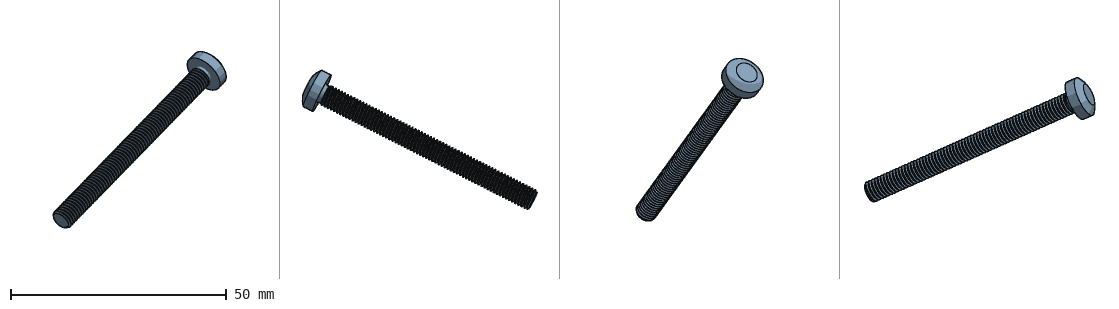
import cadquery as cq
import math

total_length = 58.7
head_height = 3.7
shank_length = total_length - head_height

head_radius = 4.75
rim_height = 2.45
head_top_radius = 2.65
crown_bulge = 0.1

thread_radius = 2.5
root_radius = 2.05
neck_radius = 2.25
neck_fillet = 0.25
neck_length = 0.8
neck_cone = thread_radius - neck_radius
tip_radius = 2.2
tip_chamfer = thread_radius - tip_radius

first_crest = 1.6
last_crest = 54.4
section_count = 6
turns_per_section = 11
thread_turns = section_count * turns_per_section
pitch = (last_crest - first_crest) / thread_turns
root_flat = pitch / 8
flank_angle = math.radians(30)
cutter_overlap = 0.05

section_length = turns_per_section * pitch
sections_bottom = -last_crest + pitch / 4
sections_top = sections_bottom + section_count * section_length


def revolve_about_axis(outline):
    """Turn a closed radius-height outline into a solid around the Y axis."""
    return outline.close().revolve(360, (0, 0), (0, 1)).val()


def make_head_blank():
    """Head with a flat-topped rounded crown, filleted neck and the short start of the unthreaded rod."""
    crown_width = head_radius - head_top_radius
    crown_height = head_height - rim_height
    slope_length = math.hypot(crown_width, crown_height)
    crown_middle = (
        (head_radius + head_top_radius) / 2 + crown_bulge * crown_height / slope_length,
        (head_height + rim_height) / 2 + crown_bulge * crown_width / slope_length,
    )
    fillet_inset = neck_fillet * (1 - math.sqrt(0.5))
    fillet_middle = (neck_radius + fillet_inset, -fillet_inset)
    return revolve_about_axis(
        cq.Workplane("XY")
        .moveTo(0, sections_top)
        .lineTo(thread_radius, sections_top)
        .lineTo(thread_radius, -neck_length - neck_cone)
        .lineTo(neck_radius, -neck_length)
        .lineTo(neck_radius, -neck_fillet)
        .threePointArc(fillet_middle, (neck_radius + neck_fillet, 0))
        .lineTo(head_radius, 0)
        .lineTo(head_radius, rim_height)
        .threePointArc(crown_middle, (head_top_radius, head_height))
        .lineTo(0, head_height)
    )


def make_section_blank():
    """Plain rod for one stacked section, the one next to the tip."""
    return revolve_about_axis(
        cq.Workplane("XY")
        .moveTo(0, sections_bottom)
        .lineTo(thread_radius, sections_bottom)
        .lineTo(thread_radius, sections_bottom + section_length)
        .lineTo(0, sections_bottom + section_length)
    )


def make_tip_blank():
    """Short plain rod with the chamfered end."""
    return revolve_about_axis(
        cq.Workplane("XY")
        .moveTo(0, -shank_length)
        .lineTo(tip_radius, -shank_length)
        .lineTo(thread_radius, -shank_length + tip_chamfer)
        .lineTo(thread_radius, sections_bottom)
        .lineTo(0, sections_bottom)
    )


def make_groove_turn():
    """One right-hand turn of the V groove, starting at the +X side half a pitch past the last crest."""
    outer_radius = thread_radius + cutter_overlap
    half_root = root_flat / 2
    half_mouth = half_root + (outer_radius - root_radius) * math.tan(flank_angle)
    profile = [
        (root_radius, -half_root),
        (outer_radius, -half_mouth),
        (outer_radius, half_mouth),
        (root_radius, half_root),
    ]
    helices = [
        cq.Wire.makeHelix(pitch, pitch, radius).translate(cq.Vector(0, 0, height))
        for radius, height in profile
    ]
    strips = [
        cq.Face.makeRuledSurface(helices[i - 1], helices[i])
        for i in range(len(helices))
    ]
    start_wire = cq.Workplane("XZ").polyline(profile).close().wires().val()
    start_cap = cq.Face.makeFromWires(start_wire)
    end_cap = start_cap.translate(cq.Vector(0, 0, pitch))
    turn = cq.Solid.makeSolid(cq.Shell.makeShell(strips + [start_cap, end_cap])).fix()
    turn_along_y = turn.rotate(cq.Vector(0, 0, 0), cq.Vector(1, 0, 0), -90)
    return turn_along_y.translate(cq.Vector(0, -last_crest - pitch / 2, 0))


def cut_thread(blank, first_turn, last_turn):
    """Cut the given groove turns; turn 0 starts half a pitch past the last crest."""
    turns = [
        groove_turn.translate(cq.Vector(0, turn * pitch, 0))
        for turn in range(first_turn, last_turn + 1)
    ]
    return blank.cut(*turns)


groove_turn = make_groove_turn()
tip = cut_thread(make_tip_blank(), -2, 1)
section = cut_thread(make_section_blank(), -1, turns_per_section + 1)
head = cut_thread(make_head_blank(), thread_turns - 1, thread_turns)
sections = [
    section.translate(cq.Vector(0, i * section_length, 0))
    for i in range(section_count)
]
screw = head.fuse(*sections, tip)
result = cq.Workplane("XY").newObject(screw.Solids())